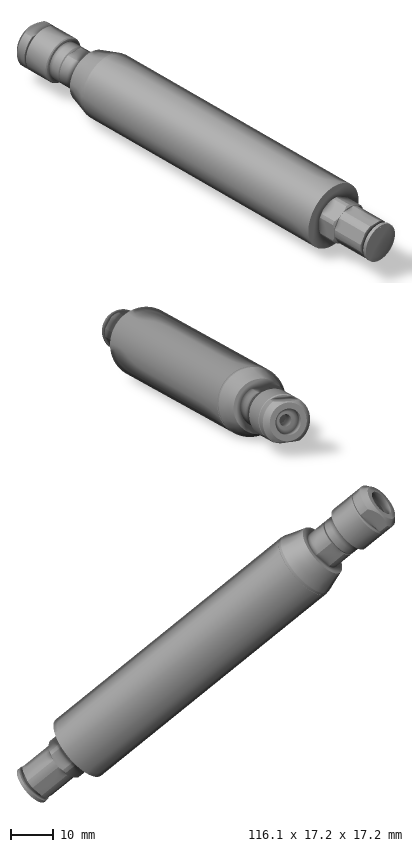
import cadquery as cq
import math

TOTAL_LENGTH = 116.1

NUT_DIAMETER = 12.0
NUT_FLATS = 10.0
NUT_FRONT_CHAMFER = 1.3
NUT_GROOVE_START = 3.7
NUT_GROOVE_END = 4.0
NUT_EDGE_CHAMFER = 0.25
NUT_END = 11
STEM_DIAMETER = 10.0
STEM_FLATS = 9.0
STEM_FLATS_START = 14.4
STEM_EDGE_CHAMFER = 0.4
BORE_DIAMETER = 6.5
BORE_DEPTH = 2.0
PORT_DIAMETER = 3.0
PORT_DEPTH = 6.0

NOSE_START = 19.5
NOSE_FRONT_DIAMETER = 13.5
NOSE_DIAMETER = 17.0
NOSE_CONE_END = 25.1
TUBE_START = 25.8
TUBE_DIAMETER = 17.2
TUBE_END = 100.3

HEX_FLATS = 10.0
HEX_TURN = 90
HEX_CORNER_DIAMETER = 11.0
HEX_END = 105.4
HEX_CHAMFER = 0.4
SLEEVE_FLATS = 9.4
SLEEVE_CORNER_DIAMETER = 9.9
SLEEVE_END = 114
NECK_DIAMETER = 7.2
FLANGE_DIAMETER = 10.0
FLANGE_START = 115.0
FLANGE_END = 115.85
NUB_DIAMETER = 0.2
NUB_HEIGHT = 4.65


def cylinder(diameter, start, end):
    """Round bar on the X axis between two stations."""
    return cq.Workplane("YZ", origin=(start, 0, 0)).circle(diameter / 2).extrude(end - start)


def flatted(bar, across_flats, start, end):
    """Bar cut to two flats facing +Z and -Z between two stations."""
    length = end - start
    cutter_size = TUBE_DIAMETER
    for side in (1, -1):
        cutter = cq.Workplane("XY").box(length, cutter_size, cutter_size, centered=(False, True, True))
        bar = bar.cut(cutter.translate((start, 0, side * (across_flats + cutter_size) / 2)))
    return bar


def hexagon(across_flats, start, end, angle):
    """Hexagonal bar on the X axis, turned about it by an angle; at zero two flats face +Z and -Z."""
    corner_diameter = across_flats / math.cos(math.pi / 6)
    bar = cq.Workplane("YZ", origin=(start, 0, 0)).polygon(6, corner_diameter).extrude(end - start)
    return bar.rotate((0, 0, 0), (1, 0, 0), angle)


def coupling():
    """Nut with flats and a blind port, the collar and the flatted stem behind it."""
    front = cylinder(NUT_DIAMETER, 0, NUT_GROOVE_START)
    front = front.faces("<X").chamfer(NUT_FRONT_CHAMFER)
    front = flatted(front, NUT_FLATS, 0, NUT_GROOVE_START)
    groove_floor = cylinder(STEM_DIAMETER, NUT_GROOVE_START, NUT_GROOVE_END)
    nut = cylinder(NUT_DIAMETER, NUT_GROOVE_END, NUT_END).faces("<X or >X").chamfer(NUT_EDGE_CHAMFER)
    collar = cylinder(STEM_DIAMETER, NUT_END, STEM_FLATS_START)
    collar = collar.faces(">X").chamfer(STEM_EDGE_CHAMFER)
    stem = cylinder(STEM_DIAMETER, STEM_FLATS_START, NOSE_START)
    stem = flatted(stem, STEM_FLATS, STEM_FLATS_START, NOSE_START)
    body = front.union(groove_floor).union(nut).union(collar).union(stem)
    body = body.cut(cylinder(BORE_DIAMETER, 0, BORE_DEPTH))
    return body.cut(cylinder(PORT_DIAMETER, BORE_DEPTH, PORT_DEPTH))


def housing():
    """Tapered nose and round tube."""
    profile = [
        (NOSE_START, 0),
        (NOSE_START, NOSE_FRONT_DIAMETER / 2),
        (NOSE_CONE_END, NOSE_DIAMETER / 2),
        (TUBE_START, NOSE_DIAMETER / 2),
        (TUBE_START, TUBE_DIAMETER / 2),
        (TUBE_END, TUBE_DIAMETER / 2),
        (TUBE_END, 0),
    ]
    return cq.Workplane("XY").polyline(profile).close().revolve(360, (0, 0, 0), (1, 0, 0))


def rear_fitting():
    """Hex nut, hexagonal sleeve with rounded corners, neck and flange."""
    turned_corners = cylinder(HEX_CORNER_DIAMETER, TUBE_END, HEX_END)
    turned_corners = turned_corners.faces("<X or >X").chamfer(HEX_CHAMFER)
    hex_nut = hexagon(HEX_FLATS, TUBE_END, HEX_END, HEX_TURN).intersect(turned_corners)
    round_sleeve = cylinder(SLEEVE_CORNER_DIAMETER, HEX_END, SLEEVE_END)
    sleeve = hexagon(SLEEVE_FLATS, HEX_END, SLEEVE_END, 0).intersect(round_sleeve)
    neck = cylinder(NECK_DIAMETER, SLEEVE_END, FLANGE_START)
    flange = cylinder(FLANGE_DIAMETER, FLANGE_START, FLANGE_END)
    nub = cylinder(NUB_DIAMETER, FLANGE_END, TOTAL_LENGTH).translate((0, 0, NUB_HEIGHT))
    return hex_nut.union(sleeve).union(neck).union(flange).union(nub)


result = coupling().union(housing()).union(rear_fitting())
result = result.translate((-TOTAL_LENGTH / 2, 0, 0))